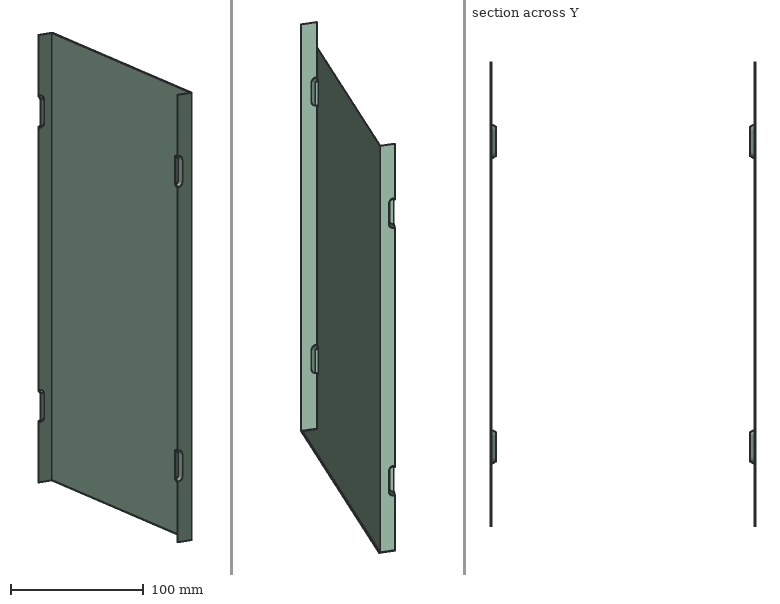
import cadquery as cq
import math

width = 200.0
depth = 12.5
height = 350.0
thickness = 1.0

dimple_length = 24.5
dimple_reach = 4.2
dimple_press = 3.0
dimple_slope = 30.0
dimple_corner = 4.0
dimple_end_distance = 60.0

front_y = -depth / 2
dimple_heights = (
    dimple_end_distance - height / 2,
    height / 2 - dimple_end_distance,
)

slope = math.radians(dimple_slope)
rim_growth = thickness / math.cos(slope) - thickness * math.tan(slope)


def make_panel():
    """U-shaped channel, open toward -Y."""
    outer = cq.Workplane("XY").box(width, depth, height)
    cavity = (
        cq.Workplane("XY")
        .box(width - 2 * thickness, depth, height)
        .translate((0, -thickness, 0))
    )
    return outer.cut(cavity)


def dimple_form(wall_x, growth, center_z):
    """Tapered form standing on the left flange, cut off flush with its free edge."""
    footprint = (
        cq.Sketch()
        .rect(2 * (dimple_reach + growth), dimple_length + 2 * growth)
        .vertices()
        .fillet(dimple_corner + growth)
    )
    form = (
        cq.Workplane("YZ", origin=(wall_x, front_y, center_z))
        .placeSketch(footprint)
        .extrude(dimple_press, taper=dimple_slope)
    )
    beyond_edge = cq.Workplane("XY").box(width, depth, height).translate((0, front_y - depth / 2, 0))
    return form.cut(beyond_edge)


left_x = -width / 2
result = make_panel()
for center_z in dimple_heights:
    bump = dimple_form(left_x + thickness, rim_growth, center_z)
    hollow = dimple_form(left_x, 0, center_z)
    result = result.union(bump).union(bump.mirror("YZ"))
    result = result.cut(hollow).cut(hollow.mirror("YZ"))